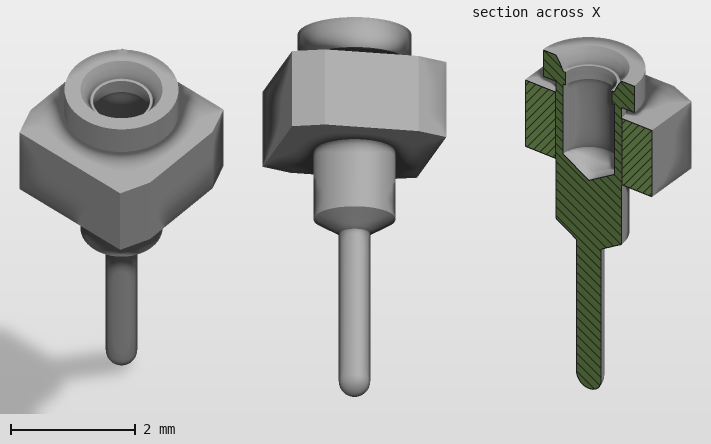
import cadquery as cq
import math

block_side = 2.54
block_height = 1.27
block_top = 5.39
corner_cut_x = 0.2
corner_cut_y = 0.5

total_height = 6.1
flange_radius = 1.83 / 2
flange_height = 0.505
barrel_radius = 1.32 / 2
barrel_bottom = 2.99
taper_bottom = 2.745
tail_radius = 0.505 / 2

mouth_radius = barrel_radius
throat_radius = 1.02 / 2
mouth_depth = 0.255
mouth_bulge = 0.01
lip_radius = 0.915 / 2
lip_bottom_depth = 0.505
bore_radius = throat_radius
bore_depth = 1.83
drill_tip_angle = 118.0


def make_block():
    """Square block with slanted corners and a bore that fits the barrel."""
    half = block_side / 2
    flat_x = half - corner_cut_x
    flat_y = half - corner_cut_y
    outline = [
        (flat_x, half), (half, flat_y), (half, -flat_y), (flat_x, -half),
        (-flat_x, -half), (-half, -flat_y), (-half, flat_y), (-flat_x, half),
    ]
    return (
        cq.Workplane("XY", origin=(0, 0, block_top - block_height))
        .polyline(outline).close().extrude(block_height)
        .faces(">Z").workplane().circle(barrel_radius).cutThruAll()
    )


def make_pin_body():
    """Turned outer shape: flange, barrel, taper and round-ended tail."""
    flange_bottom = total_height - flange_height
    tip_mid = tail_radius * math.sqrt(0.5)
    return (
        cq.Workplane("XZ")
        .moveTo(0, 0)
        .threePointArc((tip_mid, tail_radius - tip_mid), (tail_radius, tail_radius))
        .lineTo(tail_radius, taper_bottom)
        .lineTo(barrel_radius, barrel_bottom)
        .lineTo(barrel_radius, flange_bottom)
        .lineTo(flange_radius, flange_bottom)
        .lineTo(flange_radius, total_height)
        .lineTo(0, total_height)
        .close().revolve(360, (0, 0, 0), (0, 1, 0))
    )


def make_socket():
    """Hollow of the pin: curved mouth, inward lip, wider bore and conical bottom."""
    throat_z = total_height - mouth_depth
    lip_bottom_z = total_height - lip_bottom_depth
    bore_z = total_height - bore_depth
    tip_depth = bore_radius / math.tan(math.radians(drill_tip_angle / 2))
    return (
        cq.Workplane("XZ")
        .moveTo(0, bore_z - tip_depth)
        .lineTo(bore_radius, bore_z)
        .lineTo(bore_radius, lip_bottom_z)
        .lineTo(lip_radius, lip_bottom_z)
        .lineTo(lip_radius, throat_z)
        .lineTo(throat_radius, throat_z)
        .sagittaArc((mouth_radius, total_height), mouth_bulge)
        .lineTo(0, total_height)
        .close().revolve(360, (0, 0, 0), (0, 1, 0))
    )


block = make_block()
pin = make_pin_body().cut(make_socket())

result = cq.Compound.makeCompound([block.val(), pin.val()])